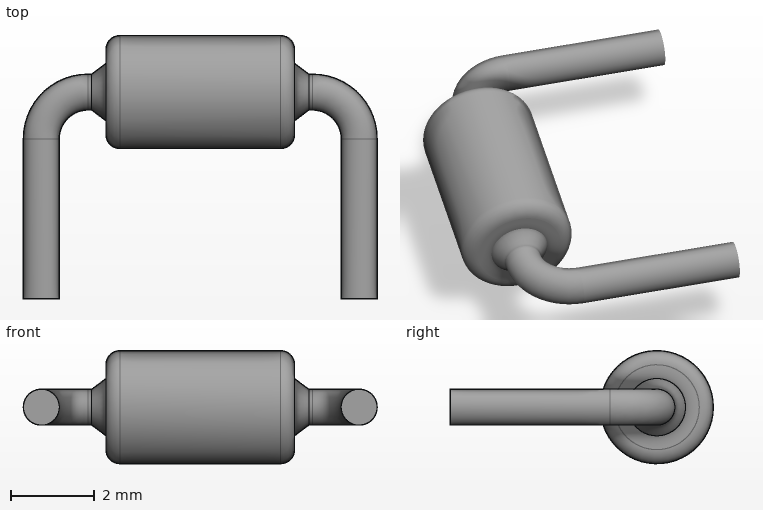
import cadquery as cq

overall_length = 8.48
body_diameter = 2.71
lead_reach = 4.95

body_length = 4.52
body_edge_radius = 0.34
collar_base_radius = 0.69
collar_length = 0.34

lead_diameter = 0.865
bend_radius = 1.12

body_end = body_length / 2
body_radius = body_diameter / 2
lead_radius = lead_diameter / 2
lead_x = overall_length / 2 - lead_radius
collar_end = body_end + collar_length


def make_body():
    """Rounded cylinder along X."""
    cylinder = cq.Workplane("YZ", origin=(-body_end, 0, 0)).circle(body_radius).extrude(body_length)
    return cylinder.edges("%CIRCLE").fillet(body_edge_radius)


def make_collar():
    """Cone tapering from the +X body face down to the wire."""
    return (
        cq.Workplane("XY")
        .polyline([
            (0, 0),
            (0, collar_base_radius),
            (body_end, collar_base_radius),
            (collar_end, lead_radius),
            (collar_end, 0),
        ])
        .close()
        .revolve(360, (0, 0, 0), (1, 0, 0))
    )


def make_lead():
    """Round wire leaving the body along +X and bending to -Y."""
    path = (
        cq.Workplane("XY")
        .lineTo(lead_x - bend_radius, 0)
        .tangentArcPoint((lead_x, -bend_radius), relative=False)
        .lineTo(lead_x, -lead_reach)
    )
    return cq.Workplane("YZ").circle(lead_radius).sweep(path)


terminal = make_collar().union(make_lead())
result = make_body().union(terminal).union(terminal.mirror("YZ"))